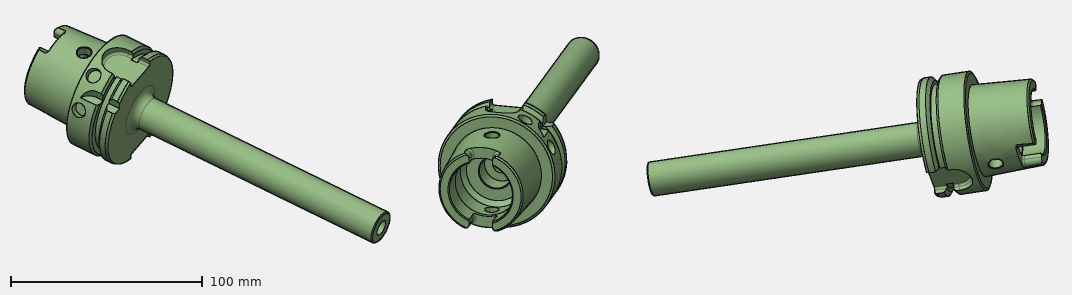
import math

import cadquery as cq


shank_length = 32.0
gauge_diameter = 48.0
gauge_distance = 6.3
taper_ratio = 1 / 9.98
shank_chamfer = 0.9

flange_radius = 31.5
flange_length = 26.0
flange_front_chamfer_length = 0.6
flange_front_chamfer_depth = 1.2
flange_back_chamfer_length = 1.4
flange_back_chamfer_depth = 0.5
groove_floor_radius = 27.4
groove_start = 15.7
groove_end = 19.3
groove_front_chamfer = 1.2
groove_back_chamfer_length = 1.8
groove_back_chamfer_depth = 2.3

stem_radius = 9.0
total_length = 208.0
stem_fillet = 5.0
stem_chamfer = 0.6
stem_end = total_length - shank_length

mouth_radius = 17.0
mouth_chamfer = 0.6
mouth_depth = 12.5
clamping_cone_length = 0.8
undercut_radius = 18.2
bore_floor_radius = 15.6
bore_depth = 30.0
thread_radius = 8.75
thread_depth = 41.0
thread_chamfer = 0.4
coolant_radius = 4.2

slot_half_width = 6.27
slot_flare_radius = 2.5
slot_flare_height = 20.9
slot_corner_fillet = 1.2
upper_slot_depth = 6.0
lower_slot_depth = 10.3

cross_hole_radius = 3.7
cross_hole_chamfer = 0.4
cross_hole_x = -9.0

keyway_half_width = 9.0
keyway_end_x = 12.7
keyway_floor = 26.5
keyway_fillet = 1.2

notch_offset = 19.8
notch_radius = 8.0
notch_end_x = 12.0

rim_hole_radius = 4.0
rim_hole_depth = 4.0
rim_hole_x = 6.0
rim_hole_angles = (math.degrees(math.atan(0.5)), math.degrees(math.atan(2.0)))

clear = 5.0


def cone_radius(x):
    return (gauge_diameter + (x + gauge_distance) * taper_ratio) / 2


def revolve_about_x(profile):
    return profile.close().revolve(360, (0, 0, 0), (1, 0, 0))


def outer_body():
    shank_tip = -shank_length
    tip_radius = cone_radius(shank_tip)
    flange_back_start = flange_length - flange_back_chamfer_length
    fillet_mid = stem_fillet * (1 - math.sqrt(0.5))
    profile = (
        cq.Workplane("XY")
        .moveTo(shank_tip, 0)
        .lineTo(shank_tip, tip_radius - shank_chamfer)
        .lineTo(shank_tip + shank_chamfer, cone_radius(shank_tip + shank_chamfer))
        .lineTo(0, cone_radius(0))
        .lineTo(0, flange_radius - flange_front_chamfer_depth)
        .lineTo(flange_front_chamfer_length, flange_radius)
        .lineTo(groove_start - groove_front_chamfer, flange_radius)
        .lineTo(groove_start, flange_radius - groove_front_chamfer)
        .lineTo(groove_start, groove_floor_radius)
        .lineTo(groove_end, groove_floor_radius)
        .lineTo(groove_end, flange_radius - groove_back_chamfer_depth)
        .lineTo(groove_end + groove_back_chamfer_length, flange_radius)
        .lineTo(flange_back_start, flange_radius)
        .lineTo(flange_length, flange_radius - flange_back_chamfer_depth)
        .lineTo(flange_length, stem_radius + stem_fillet)
        .threePointArc(
            (flange_length + fillet_mid, stem_radius + fillet_mid),
            (flange_length + stem_fillet, stem_radius),
        )
        .lineTo(stem_end - stem_chamfer, stem_radius)
        .lineTo(stem_end, stem_radius - stem_chamfer)
        .lineTo(stem_end, 0)
    )
    return revolve_about_x(profile)


def bore():
    mouth = -shank_length
    floor = mouth + bore_depth
    floor_bevel = undercut_radius - bore_floor_radius
    profile = (
        cq.Workplane("XY")
        .moveTo(mouth, 0)
        .lineTo(mouth, mouth_radius + mouth_chamfer)
        .lineTo(mouth + mouth_chamfer, mouth_radius)
        .lineTo(mouth + mouth_depth, mouth_radius)
        .lineTo(mouth + mouth_depth + clamping_cone_length, undercut_radius)
        .lineTo(floor - floor_bevel, undercut_radius)
        .lineTo(floor, bore_floor_radius)
        .lineTo(floor, thread_radius + thread_chamfer)
        .lineTo(floor + thread_chamfer, thread_radius)
        .lineTo(mouth + thread_depth, thread_radius)
        .lineTo(mouth + thread_depth, coolant_radius)
        .lineTo(stem_end, coolant_radius)
        .lineTo(stem_end, 0)
    )
    return revolve_about_x(profile)


def drive_slot(depth):
    """Slot above the axis whose side walls flare outward in an arc near the outer surface."""
    flare_start = slot_flare_height - slot_flare_radius
    flare_half_width = slot_half_width + slot_flare_radius
    flare_mid = slot_flare_radius * math.sqrt(0.5)
    top = cone_radius(0) + clear
    slot = (
        cq.Workplane("YZ", origin=(-shank_length - clear, 0, 0))
        .moveTo(-slot_half_width, 0)
        .lineTo(-slot_half_width, flare_start)
        .threePointArc(
            (-flare_half_width + flare_mid, flare_start + flare_mid),
            (-flare_half_width, slot_flare_height),
        )
        .lineTo(-flare_half_width - clear, slot_flare_height)
        .lineTo(-flare_half_width - clear, top)
        .lineTo(flare_half_width + clear, top)
        .lineTo(flare_half_width + clear, slot_flare_height)
        .lineTo(flare_half_width, slot_flare_height)
        .threePointArc(
            (flare_half_width - flare_mid, flare_start + flare_mid),
            (slot_half_width, flare_start),
        )
        .lineTo(slot_half_width, 0)
        .close()
        .extrude(clear + depth)
    )
    end_x = -shank_length + depth
    inner_corners = cq.selectors.BoxSelector(
        (end_x - clear, -flare_half_width, 0),
        (end_x + clear, flare_half_width, flare_start),
    )
    return slot.edges(">X").edges("|Z").edges(inner_corners).fillet(slot_corner_fillet)


def cut_cross_hole(body):
    """Cut the hole through both shank walls and chamfer its two outer rims."""
    reach = cone_radius(0) + clear
    hole = (
        cq.Workplane("XY", origin=(cross_hole_x, 0, 0))
        .circle(cross_hole_radius)
        .extrude(reach, both=True)
    )
    body = body.cut(hole)
    for side in (-1, 1):
        rim = cq.selectors.BoxSelector(
            (cross_hole_x - clear, -clear, side * (mouth_radius + clear)),
            (cross_hole_x + clear, clear, side * reach),
        )
        body = body.edges(rim).chamfer(cross_hole_chamfer)
    return body


def keyway():
    """Round-ended keyway above the axis, open toward the stem, with a filleted floor."""
    straight_length = flange_length + clear + keyway_half_width - keyway_end_x
    return (
        cq.Workplane("XY", origin=(keyway_end_x + straight_length / 2, 0, keyway_floor))
        .slot2D(straight_length + 2 * keyway_half_width, 2 * keyway_half_width)
        .extrude(flange_radius + clear - keyway_floor)
        .edges("<Z")
        .fillet(keyway_fillet)
    )


def orientation_notch():
    """Right-angled notch at the -Y +Z corner with a round end toward the shank."""
    straight_length = flange_length + clear + notch_radius - notch_end_x
    center_x = notch_end_x + straight_length / 2
    return (
        cq.Workplane("XY", origin=(center_x, -notch_offset - notch_radius, notch_offset))
        .slot2D(straight_length + 2 * notch_radius, 2 * notch_radius)
        .extrude(flange_radius)
    )


def rim_hole(angle):
    """Blind radial hole, with its angle measured from -Y toward +Z."""
    return (
        cq.Workplane("XZ", origin=(rim_hole_x, -flange_radius - clear, 0))
        .circle(rim_hole_radius)
        .extrude(-clear - rim_hole_depth)
        .rotate((0, 0, 0), (1, 0, 0), -angle)
    )


def below_axis(feature):
    return feature.rotate((0, 0, 0), (1, 0, 0), 180)


result = cut_cross_hole(outer_body().cut(bore()))
result = result.cut(drive_slot(upper_slot_depth))
result = result.cut(below_axis(drive_slot(lower_slot_depth)))
result = result.cut(keyway()).cut(below_axis(keyway()))
result = result.cut(orientation_notch())
for hole_angle in rim_hole_angles:
    result = result.cut(rim_hole(hole_angle))